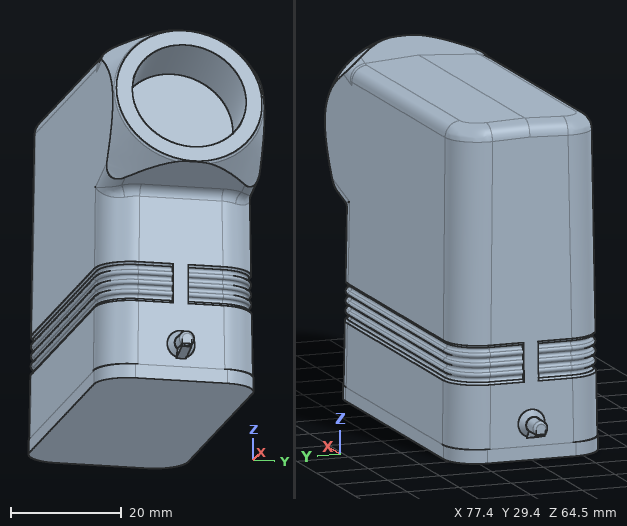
import cadquery as cq
import math

BODY_LENGTH = 62.75
BODY_WIDTH = 29.4
ROOF_HEIGHT = 62.45
DRAFT = 0.8
CORNER_RADIUS = 6.65
ROOF_EDGE_RADIUS = 2.95
ROOF_PITCH = 2.0
SKIRT_HEIGHT = 2.6
SKIRT_CORNER_RADIUS = 6.2

ENTRY_TILT = 15.0
ENTRY_FACE_X = 37.8
ENTRY_FACE_Z = 51.4
ENTRY_HALF_HEIGHT = 13.55
ENTRY_LENGTH = 24.8
ENTRY_EDGE_RADIUS = 3.1
ENTRY_FACE_RADIUS = 13.5
ENTRY_RIM_WIDTH = 0.4
ENTRY_CONE_ANGLE = 28.0
ENTRY_ROOT_RADIUS = 1.9
BORE_RADIUS = 10.5
BORE_DEPTH = 10.8

GROOVE_COUNT = 4
GROOVE_BAND_HEIGHT = 7.3
GROOVE_PITCH = GROOVE_BAND_HEIGHT / GROOVE_COUNT
GROOVE_DEPTH = 0.7
GROOVE_TOP = 21.75
CREST_SINK = 0.04
GROOVE_CLEARANCE = 0.8
GROOVE_GAP = 2.8

PIN_HEIGHT = 6.7
PIN_RADIUS = 1.4
PIN_TIP_X = 36.1
PIN_TIP_FILLET = 0.5
PIN_COLLAR_RADIUS = 2.55
PIN_COLLAR_LENGTH = 1.1
PIN_RIB_WIDTH = 1.8
PIN_RIB_STEP = 0.1
PIN_RIB_SLOPE = 15.0
PIN_EMBED = 0.8

PICK_MARGIN = 0.8

draft_slope = math.tan(math.radians(DRAFT))


def wall_inset(z):
    """How far a wall has moved inward at height z."""
    return draft_slope * (z - SKIRT_HEIGHT)


def make_hood():
    """Drafted, rounded hood with a low gable roof."""
    hood = (
        cq.Workplane("XY", origin=(0, 0, SKIRT_HEIGHT))
        .rect(BODY_LENGTH, BODY_WIDTH)
        .extrude(ROOF_HEIGHT - SKIRT_HEIGHT, taper=DRAFT)
        .edges("not(|X or |Y)")
        .fillet(CORNER_RADIUS)
    )
    half_width = BODY_WIDTH / 2
    eaves_height = ROOF_HEIGHT - half_width * math.tan(math.radians(ROOF_PITCH))
    gable = (
        cq.Workplane("YZ")
        .polyline([
            (-half_width, 0),
            (half_width, 0),
            (half_width, eaves_height),
            (0, ROOF_HEIGHT),
            (-half_width, eaves_height),
        ])
        .close()
        .extrude(BODY_LENGTH, both=True)
    )
    hood = hood.intersect(gable)
    roof_edges = hood.edges().filter(
        lambda edge: edge.Center().z > eaves_height - PICK_MARGIN and abs(edge.Center().y) > PICK_MARGIN
    )
    return hood.newObject(roof_edges.vals()).fillet(ROOF_EDGE_RADIUS)


def make_skirt():
    """Straight rim below the drafted walls."""
    return (
        cq.Workplane("XY")
        .rect(BODY_LENGTH, BODY_WIDTH)
        .extrude(SKIRT_HEIGHT)
        .edges("|Z")
        .fillet(SKIRT_CORNER_RADIUS)
    )


def entry_plane():
    """Plane of the entry face: local X runs along +Y, the normal points out."""
    tilt = math.radians(ENTRY_TILT)
    return cq.Plane(
        origin=(ENTRY_FACE_X, 0, ENTRY_FACE_Z),
        xDir=(0, 1, 0),
        normal=(math.cos(tilt), 0, math.sin(tilt)),
    )


def make_entry():
    """Spout with walls flush with the hood, trimmed by a cone around its axis."""
    face = entry_plane()
    spout = (
        cq.Workplane(face)
        .rect(2 * BODY_WIDTH, 2 * ENTRY_HALF_HEIGHT)
        .extrude(-ENTRY_LENGTH)
    )
    slab_top = 2 * ENTRY_FACE_Z
    lower = BODY_WIDTH / 2
    upper = lower - wall_inset(slab_top)
    drafted_slab = (
        cq.Workplane("YZ")
        .polyline([(-lower, SKIRT_HEIGHT), (lower, SKIRT_HEIGHT), (upper, slab_top), (-upper, slab_top)])
        .close()
        .extrude(2 * BODY_LENGTH, both=True)
    )
    spout = spout.intersect(drafted_slab)
    long_edges = spout.edges().filter(
        lambda edge: abs(face.toLocalCoords(edge.Center()).z + ENTRY_LENGTH / 2) < PICK_MARGIN
    )
    spout = spout.newObject(long_edges.vals()).fillet(ENTRY_EDGE_RADIUS)
    rim_radius = ENTRY_FACE_RADIUS + ENTRY_RIM_WIDTH
    cone_growth = (ENTRY_LENGTH - ENTRY_RIM_WIDTH) * math.tan(math.radians(ENTRY_CONE_ANGLE))
    trim = (
        cq.Workplane("XY")
        .polyline([
            (0, 0),
            (ENTRY_FACE_RADIUS, 0),
            (rim_radius, -ENTRY_RIM_WIDTH),
            (rim_radius + cone_growth, -ENTRY_LENGTH),
            (0, -ENTRY_LENGTH),
        ])
        .close()
        .revolve(360, (0, 0, 0), (0, 1, 0))
        .rotate((0, 0, 0), (1, 0, 0), 90)
    )
    trim = cq.Workplane(trim.val().moved(cq.Location(face)))
    return spout.intersect(trim)


def blend_entry_root(body):
    """Round the inner corner where the underside of the spout meets the +X end wall."""
    tilt = math.radians(ENTRY_TILT)
    wall_x = BODY_LENGTH / 2
    root_z = ENTRY_FACE_Z - ENTRY_HALF_HEIGHT / math.cos(tilt) - (ENTRY_FACE_X - wall_x) * math.tan(tilt)
    corner_start = wall_x - CORNER_RADIUS - wall_inset(root_z)
    root_edges = body.edges().filter(
        lambda edge: corner_start + PICK_MARGIN < edge.Center().x < wall_x
        and abs(edge.Center().z - root_z) < 2 * PICK_MARGIN
    )
    return body.newObject(root_edges.vals()).fillet(ENTRY_ROOT_RADIUS)


def make_bore():
    """Round blind hole into the entry face."""
    return cq.Workplane(entry_plane()).circle(BORE_RADIUS).extrude(-BORE_DEPTH)


def make_grooves():
    """Wavy band along the -Y half of the walls, stopping short of the middle of the end walls."""
    middle = GROOVE_TOP - GROOVE_BAND_HEIGHT / 2
    wall_x = BODY_LENGTH / 2 - wall_inset(middle)
    wall_y = BODY_WIDTH / 2 - wall_inset(middle)
    path = (
        cq.Workplane("XY", origin=(0, 0, middle))
        .moveTo(wall_x, -GROOVE_GAP / 2)
        .lineTo(wall_x, CORNER_RADIUS - wall_y)
        .radiusArc((wall_x - CORNER_RADIUS, -wall_y), CORNER_RADIUS)
        .lineTo(CORNER_RADIUS - wall_x, -wall_y)
        .radiusArc((-wall_x, CORNER_RADIUS - wall_y), CORNER_RADIUS)
        .lineTo(-wall_x, -GROOVE_GAP / 2)
    )

    def wave_point(quarters, depth):
        """Point on the wave, a number of quarter pitches below the top of the band."""
        z = GROOVE_TOP - quarters * GROOVE_PITCH / 4
        return BODY_LENGTH / 2 - wall_inset(z) - CREST_SINK - depth, z

    crest = 0
    flank = GROOVE_DEPTH / 2
    trough = GROOVE_DEPTH
    quarter = GROOVE_PITCH / 4
    arc_radius = (quarter ** 2 + flank ** 2) / (2 * flank)
    last = 4 * GROOVE_COUNT
    outer = BODY_LENGTH / 2 + GROOVE_CLEARANCE
    profile = (
        cq.Workplane("XZ", origin=(0, -GROOVE_GAP / 2, 0))
        .moveTo(outer, GROOVE_TOP)
        .lineTo(*wave_point(0, crest))
        .radiusArc(wave_point(1, flank), -arc_radius)
    )
    for start in range(0, last, 4):
        profile = profile.threePointArc(wave_point(start + 2, trough), wave_point(start + 3, flank))
        if start + 4 < last:
            profile = profile.threePointArc(wave_point(start + 4, crest), wave_point(start + 5, flank))
    profile = (
        profile.radiusArc(wave_point(last, crest), -arc_radius)
        .lineTo(outer, GROOVE_TOP - GROOVE_BAND_HEIGHT)
        .close()
    )
    return profile.sweep(path, transition="round")


def make_pin():
    """Locking pin on the +X end wall with a conical collar and a rib underneath."""
    wall_x = BODY_LENGTH / 2 - wall_inset(PIN_HEIGHT)
    root_x = wall_x - PIN_EMBED
    pin = (
        cq.Workplane("YZ", origin=(root_x, 0, PIN_HEIGHT))
        .circle(PIN_RADIUS)
        .extrude(PIN_TIP_X - root_x)
        .faces(">X")
        .fillet(PIN_TIP_FILLET)
    )
    collar = cq.Workplane(cq.Solid.makeCone(
        PIN_COLLAR_RADIUS + PIN_EMBED,
        PIN_COLLAR_RADIUS - PIN_COLLAR_LENGTH,
        PIN_COLLAR_LENGTH + PIN_EMBED,
        cq.Vector(root_x, 0, PIN_HEIGHT),
        cq.Vector(1, 0, 0),
    ))
    rib_front_x = PIN_TIP_X - PIN_TIP_FILLET
    rib_front_z = PIN_HEIGHT - PIN_RADIUS - PIN_RIB_STEP
    rib_drop = (rib_front_x - root_x) * math.tan(math.radians(PIN_RIB_SLOPE))
    rib = (
        cq.Workplane("XZ")
        .polyline([
            (root_x, PIN_HEIGHT),
            (PIN_TIP_X, PIN_HEIGHT),
            (PIN_TIP_X, rib_front_z + PIN_TIP_FILLET),
            (rib_front_x, rib_front_z),
            (root_x, rib_front_z - rib_drop),
        ])
        .close()
        .extrude(PIN_RIB_WIDTH / 2, both=True)
    )
    return pin.union(collar).union(rib)


body = blend_entry_root(make_hood().union(make_entry()))
body = body.union(make_skirt())

half_grooves = make_grooves()
body = body.cut(half_grooves).cut(half_grooves.mirror("XZ"))
body = body.cut(make_bore())

pin = make_pin()
result = body.union(pin).union(pin.mirror("YZ"))